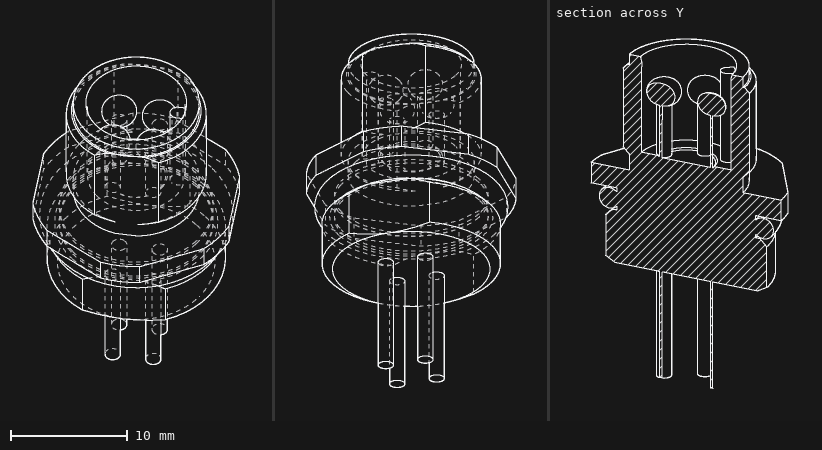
import cadquery as cq
import math

nut_bottom = 10.02
nut_top = 15.05
flange_bottom = 17.1
flange_top = 19.08
thread_bottom = 20.52
thread_top = 29.05
total_height = 30.0

nut_radius = 7.65
nut_bottom_radius = 6.75
nut_bottom_chamfer_height = 0.5
nut_top_chamfer = 0.65
nut_flat_distance = 6.75
groove_radius = 6.6
seal_section_radius = 1.0
seal_outer_radius = 8.28

flange_across_flats = 17.0
flange_corner_radius = 9.0
flange_turn = 30.0

thread_radius = 6.0
neck_radius = 5.4
thread_bottom_chamfer = thread_radius - neck_radius
thread_top_chamfer = 0.45
thread_flat_distance = 5.3
flat_angle = 120.0

bore_radius = 4.2
bore_mouth_radius = 4.32
bore_mouth_height = 0.48
floor_height = 21.0
recess_radius = 2.67
recess_depth = 0.15

rib_angle = 30.0
rib_nose_radius = 0.63
rib_nose_distance = 3.57
rib_top = 29.4

contact_count = 4
contact_circle_radius = 2.5
contact_start_angle = 75.0
contact_radius = 0.65
head_radius = 1.5
head_arc_radius = 1.1
head_flat_radius = 0.18
head_centre_height = 26.8


def cylinder(radius, bottom, top):
    return cq.Workplane("XY", origin=(0, 0, bottom)).circle(radius).extrude(top - bottom)


def revolved(profile):
    """Turn a closed (radius, height) outline around the connector axis."""
    return profile.close().revolve(360, (0, 0, 0), (0, 1, 0))


def cut_two_flats(body, distance, bottom, top):
    """Cut a pair of parallel flats, each at the given distance from the axis."""
    depth = thread_radius
    for angle in (flat_angle, flat_angle + 180):
        cutter = (
            cq.Workplane("XY", origin=(0, 0, bottom))
            .center(distance + depth / 2, 0)
            .rect(depth, 2 * nut_radius)
            .extrude(top - bottom)
            .rotate((0, 0, 0), (0, 0, 1), angle)
        )
        body = body.cut(cutter)
    return body


def make_nut():
    nut = revolved(
        cq.Workplane("XZ")
        .moveTo(0, nut_bottom)
        .lineTo(nut_bottom_radius, nut_bottom)
        .lineTo(nut_radius, nut_bottom + nut_bottom_chamfer_height)
        .lineTo(nut_radius, nut_top - nut_top_chamfer)
        .lineTo(nut_radius - nut_top_chamfer, nut_top)
        .lineTo(0, nut_top)
    )
    nut = cut_two_flats(nut, nut_flat_distance, nut_bottom, nut_top)
    return nut.union(cylinder(groove_radius, nut_top, flange_bottom))


def make_seal():
    """Round sealing ring in the groove, resting on the top of the nut."""
    ring_radius = seal_outer_radius - seal_section_radius
    section_height = nut_top + seal_section_radius
    return (
        cq.Workplane("XZ")
        .moveTo(ring_radius, section_height)
        .circle(seal_section_radius)
        .revolve(360, (0, 0, 0), (0, 1, 0))
    )


def make_flange():
    hexagon = (
        cq.Workplane("XY", origin=(0, 0, flange_bottom))
        .polygon(6, flange_across_flats, circumscribed=True)
        .extrude(flange_top - flange_bottom)
        .rotate((0, 0, 0), (0, 0, 1), flange_turn)
    )
    return hexagon.intersect(cylinder(flange_corner_radius, flange_bottom, flange_top))


def make_sleeve():
    sleeve = revolved(
        cq.Workplane("XZ")
        .moveTo(0, flange_top)
        .lineTo(neck_radius, flange_top)
        .lineTo(neck_radius, thread_bottom)
        .lineTo(thread_radius, thread_bottom + thread_bottom_chamfer)
        .lineTo(thread_radius, thread_top - thread_top_chamfer)
        .lineTo(thread_radius - thread_top_chamfer, thread_top)
        .lineTo(0, thread_top)
    )
    sleeve = cut_two_flats(sleeve, thread_flat_distance, flange_top, thread_top)
    return sleeve.union(cylinder(neck_radius, thread_top, total_height))


def make_socket():
    """Space inside the sleeve, with a shallow tapered recess in its floor."""
    recess_bottom = floor_height - recess_depth
    return revolved(
        cq.Workplane("XZ")
        .moveTo(0, recess_bottom)
        .lineTo(recess_radius - recess_depth, recess_bottom)
        .lineTo(recess_radius, floor_height)
        .lineTo(bore_radius, floor_height)
        .lineTo(bore_radius, total_height - bore_mouth_height)
        .lineTo(bore_mouth_radius, total_height)
        .lineTo(0, total_height)
    )


def make_rib():
    wall_reach = (bore_radius + neck_radius) / 2
    length = wall_reach - rib_nose_distance
    nose = (
        cq.Workplane("XY", origin=(rib_nose_distance, 0, floor_height))
        .circle(rib_nose_radius)
        .extrude(rib_top - floor_height)
    )
    web = (
        cq.Workplane("XY", origin=(rib_nose_distance + length / 2, 0, floor_height))
        .rect(length, 2 * rib_nose_radius)
        .extrude(rib_top - floor_height)
    )
    rib = nose.union(web).intersect(cylinder(bore_radius, floor_height, rib_top))
    return rib.rotate((0, 0, 0), (0, 0, 1), rib_angle)


def make_contact():
    """One contact on the axis; its head is a ring-shaped bulge with a small flat at each end."""
    arc_centre = head_radius - head_arc_radius
    flat_rise = math.sqrt(head_arc_radius**2 - (arc_centre - head_flat_radius) ** 2)
    head = revolved(
        cq.Workplane("XZ")
        .moveTo(0, head_centre_height - flat_rise)
        .lineTo(head_flat_radius, head_centre_height - flat_rise)
        .threePointArc(
            (head_radius, head_centre_height),
            (head_flat_radius, head_centre_height + flat_rise),
        )
        .lineTo(0, head_centre_height + flat_rise)
    )
    rod = cylinder(contact_radius, 0, head_centre_height)
    return rod.union(head)


result = make_nut().union(make_flange()).union(make_sleeve()).union(make_seal())
result = result.cut(make_socket()).union(make_rib())

contact = make_contact()
for index in range(contact_count):
    angle = math.radians(contact_start_angle + index * 360 / contact_count)
    x = contact_circle_radius * math.cos(angle)
    y = contact_circle_radius * math.sin(angle)
    result = result.union(contact.translate((x, y, 0)))